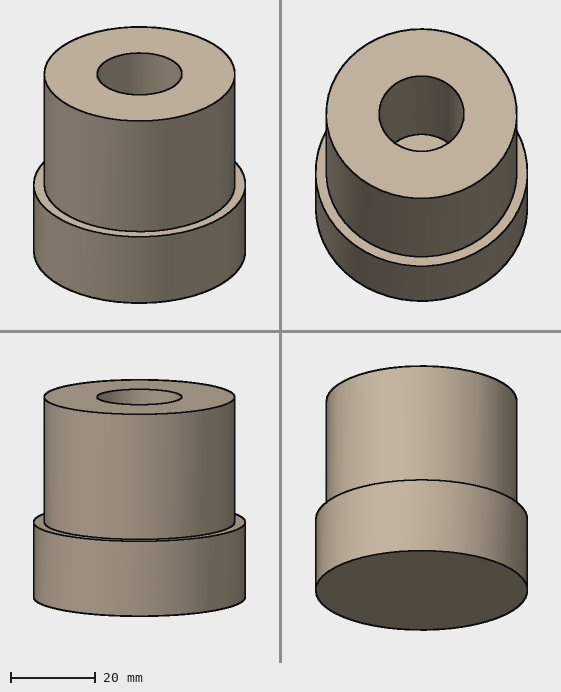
import cadquery as cq

flange_diameter = 50
flange_height = 18
body_diameter = 45
total_height = 48
bore_diameter = 20

body_height = total_height - flange_height
bore_depth = body_height

flange = cq.Workplane("XY").circle(flange_diameter / 2).extrude(flange_height)

stepped_body = flange.faces(">Z").workplane().circle(body_diameter / 2).extrude(body_height)

result = stepped_body.faces(">Z").workplane().hole(bore_diameter, bore_depth)